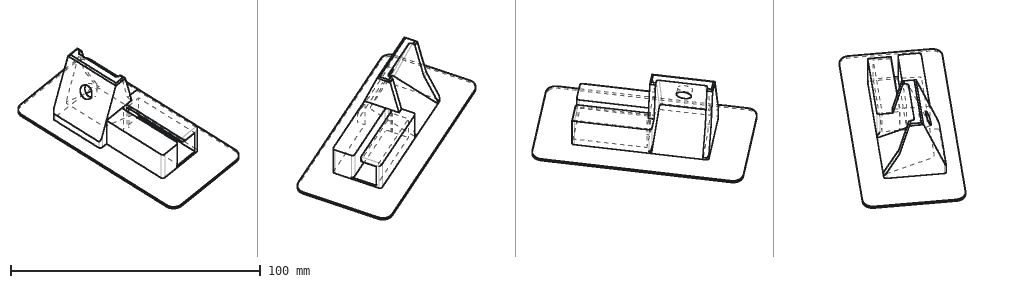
import cadquery as cq
import math

plate_length = 85.6
plate_width = 41.6
plate_thickness = 1.0
plate_corner_radius = 4.2

corner_radius = 1.0

bar_end_x = 27.8
bars_half_width = 10.8
bar_top_z = 14.3
channel_width = 2.8
channel_floor_z = 2 * plate_thickness

lip_thickness = 1.6
rear_wall_thickness = 2.2
lip_end_radius = 1.0

stand_left_x = -27.7
stand_width = 25.5
stand_right_x = stand_left_x + stand_width
stand_center_x = stand_left_x + stand_width / 2
stand_top_z = 30.3
stand_front_y = -14.5
front_slope_start_z = 4.45
stand_top_front_y = -5.0
stand_top_back_y = 0.4
back_bend_y = 4.45
back_bend_radius = 5.1
back_foot_z = 2.05
top_chamfer = 0.6

pocket_width = 20.8
pocket_corner_radius = 1.0
front_wall_thickness = 3.0
pocket_reach = 51.4

hole_diameter = 6.0
hole_front_y = -8.65

bars_start_x = stand_center_x + pocket_width / 2
slope_run = stand_top_front_y - stand_front_y
slope_rise = stand_top_z - front_slope_start_z
slope_angle = math.atan2(slope_run, slope_rise)


def box_between(low, high):
    """Axis-aligned box between two opposite corners."""
    size = [h - l for l, h in zip(low, high)]
    return cq.Workplane("XY").box(*size, centered=False).translate(low)


def make_plate():
    plate = cq.Workplane("XY").box(plate_length, plate_width, plate_thickness, centered=(True, True, False))
    return plate.edges("|Z").fillet(plate_corner_radius)


def make_bars():
    half_channel = channel_width / 2
    bars = box_between((bars_start_x, -bars_half_width, 0), (bar_end_x, bars_half_width, bar_top_z))
    channel = (
        box_between((stand_right_x, -half_channel, channel_floor_z), (plate_length, half_channel, stand_top_z))
        .edges("|Z and <X")
        .fillet(corner_radius)
    )
    bars = bars.cut(channel)
    bars = bars.faces(">X").edges("|Z").fillet(corner_radius)
    bars = bars.edges("|Z and >Y and <X").fillet(corner_radius)

    hollow = box_between(
        (stand_right_x, half_channel, channel_floor_z),
        (bar_end_x, bars_half_width - rear_wall_thickness, bar_top_z - lip_thickness),
    )
    lip_rounding = (
        cq.Workplane("XZ", origin=(bar_end_x, 0, bar_top_z))
        .moveTo(-lip_end_radius, 0)
        .radiusArc((0, -lip_end_radius), lip_end_radius)
        .lineTo(0, 0)
        .close()
        .extrude(-bars_half_width)
    )
    return bars.cut(hollow).cut(lip_rounding)


def make_stand():
    profile = [
        (stand_front_y, 0),
        (stand_front_y, front_slope_start_z),
        (stand_top_front_y, stand_top_z),
        (stand_top_back_y, stand_top_z),
        (back_bend_y, bar_top_z),
        (bars_half_width, back_foot_z),
        (bars_half_width, 0),
    ]
    stand = (
        cq.Workplane("YZ", origin=(stand_left_x, 0, 0))
        .polyline(profile)
        .close()
        .extrude(stand_width)
    )
    back_bend = cq.selectors.NearestToPointSelector((stand_center_x, back_bend_y, bar_top_z))
    stand = stand.edges("|X").edges(back_bend).fillet(back_bend_radius)
    stand = stand.faces(">Z").edges().chamfer(top_chamfer)
    footprint = (
        box_between((stand_left_x, stand_front_y, 0), (stand_right_x, bars_half_width, stand_top_z))
        .edges("|Z")
        .fillet(corner_radius)
    )
    return stand.intersect(footprint)


def make_pocket():
    """Box leaning with the front slope; its floor runs down to the plate at the back."""
    wall_y_at_top = stand_top_front_y + front_wall_thickness / math.cos(slope_angle)
    back_to_wall = bars_half_width - wall_y_at_top
    depth = (stand_top_z - plate_thickness) * math.cos(slope_angle) - back_to_wall * math.sin(slope_angle)
    pocket = (
        box_between((-pocket_width / 2, 0, -depth), (pocket_width / 2, pocket_reach, pocket_reach))
        .edges("|Z and <Y")
        .fillet(pocket_corner_radius)
    )
    return pocket.rotate((0, 0, 0), (1, 0, 0), -math.degrees(slope_angle)).translate(
        (stand_center_x, wall_y_at_top, stand_top_z)
    )


def make_hole():
    hole_front_z = front_slope_start_z + (hole_front_y - stand_front_y) * slope_rise / slope_run
    inward = cq.Vector(0, math.cos(slope_angle), -math.sin(slope_angle))
    start = cq.Vector(stand_center_x, hole_front_y, hole_front_z) - inward * front_wall_thickness
    return cq.Solid.makeCylinder(hole_diameter / 2, 3 * front_wall_thickness, start, inward)


body = make_bars().union(make_stand()).cut(make_pocket()).cut(make_hole())
result = make_plate().union(body)